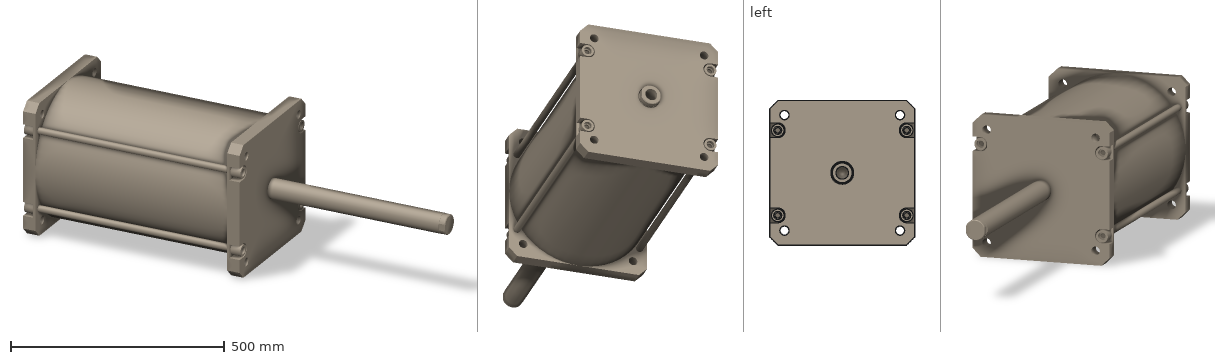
import cadquery as cq
import math

OVERALL_LENGTH = 1050.0
PLATE_SIZE = 340.0
PLATE_THICKNESS = 33.0
PLATE_CORNER_CHAMFER = 20.0
REAR_STUB_LENGTH = 16.0
BARREL_LENGTH = 504.0
BARREL_RADIUS = PLATE_SIZE / 2
BARREL_WALL = 9.0

MOUNT_HOLE_OFFSET = 135.0
MOUNT_HOLE_RADIUS = 10.0

TIE_ROD_Y = 151.0
TIE_ROD_Z = 100.0
TIE_ROD_RADIUS = 8.0
TIE_HEAD_RADIUS = 15.0
TIE_SOCKET_RADIUS = 9.0
TIE_SOCKET_DEPTH = 8.0
TIE_PILOT_RADIUS = 6.0
TIE_PILOT_DEPTH = 13.0
SLOT_WIDTH = 35.0
SLOT_RADIUS = SLOT_WIDTH / 2
SLOT_DEPTH = 26.0

ROD_RADIUS = 25.0
ROD_END_LENGTH = 16.0
ROD_END_RADIUS = 24.7
ROD_END_CHAMFER = 1.6
ROD_FLAT_OFFSET = 23.0
REAR_ROD_CLEARANCE = 1.6
BORE_RADIUS = 15.0
BORE_DEPTH = 42.0
DRILL_TIP_ANGLE = 118.0

REAR_FACE_X = REAR_STUB_LENGTH
BARREL_START_X = REAR_FACE_X + PLATE_THICKNESS
BARREL_END_X = BARREL_START_X + BARREL_LENGTH
FRONT_FACE_X = BARREL_END_X + PLATE_THICKNESS

TIE_ROD_PLACES = [(y, z) for y in (-TIE_ROD_Y, TIE_ROD_Y) for z in (-TIE_ROD_Z, TIE_ROD_Z)]


def rod_along_x(start_x, length, radius, y=0.0, z=0.0):
    """Solid cylinder parallel to X, starting at start_x."""
    return cq.Workplane("YZ", origin=(start_x, y, z)).circle(radius).extrude(length)


def box_along_x(start_x, length, y, z, width, height):
    """Box centred on (y, z), starting at start_x."""
    return cq.Workplane("YZ", origin=(start_x, y, z)).rect(width, height).extrude(length)


def make_end_plate(start_x, slot_x, rod_hole_radius):
    """Square end plate; its tie-rod head slots start at slot_x and open to the nearest side."""
    plate = box_along_x(start_x, PLATE_THICKNESS, 0, 0, PLATE_SIZE, PLATE_SIZE)
    plate = plate.edges("|X").chamfer(PLATE_CORNER_CHAMFER)
    for y in (-MOUNT_HOLE_OFFSET, MOUNT_HOLE_OFFSET):
        for z in (-MOUNT_HOLE_OFFSET, MOUNT_HOLE_OFFSET):
            plate = plate.cut(rod_along_x(start_x, PLATE_THICKNESS, MOUNT_HOLE_RADIUS, y, z))
    slot_reach = PLATE_SIZE / 2 - TIE_ROD_Y
    for y, z in TIE_ROD_PLACES:
        slot_y = math.copysign(TIE_ROD_Y + slot_reach / 2, y)
        plate = plate.cut(rod_along_x(start_x, PLATE_THICKNESS, TIE_ROD_RADIUS, y, z))
        plate = plate.cut(rod_along_x(slot_x, SLOT_DEPTH, SLOT_RADIUS, y, z))
        plate = plate.cut(box_along_x(slot_x, SLOT_DEPTH, slot_y, z, slot_reach, SLOT_WIDTH))
    return plate.cut(rod_along_x(start_x, PLATE_THICKNESS, rod_hole_radius))


def make_barrel():
    """Plain tube clamped between the end plates."""
    tube = rod_along_x(BARREL_START_X, BARREL_LENGTH, BARREL_RADIUS)
    return tube.cut(rod_along_x(BARREL_START_X, BARREL_LENGTH, BARREL_RADIUS - BARREL_WALL))


def make_tie_rod(y, z):
    """Tie rod with a round head, bored with a stepped socket, sunk into the slot of each end plate."""
    tie_rod = rod_along_x(REAR_FACE_X, FRONT_FACE_X - REAR_FACE_X, TIE_ROD_RADIUS, y, z)
    for head_x in (REAR_FACE_X, FRONT_FACE_X - SLOT_DEPTH):
        tie_rod = tie_rod.union(rod_along_x(head_x, SLOT_DEPTH, TIE_HEAD_RADIUS, y, z))
    for radius, depth in ((TIE_SOCKET_RADIUS, TIE_SOCKET_DEPTH), (TIE_PILOT_RADIUS, TIE_PILOT_DEPTH)):
        for hole_x in (REAR_FACE_X, FRONT_FACE_X - depth):
            tie_rod = tie_rod.cut(rod_along_x(hole_x, depth, radius, y, z))
    return tie_rod


def make_bore():
    """Drilled hole in the rear rod end, closed by a drill-tip cone."""
    tip_length = BORE_RADIUS / math.tan(math.radians(DRILL_TIP_ANGLE / 2))
    profile = [(0, 0), (0, BORE_RADIUS), (BORE_DEPTH, BORE_RADIUS), (BORE_DEPTH + tip_length, 0)]
    return cq.Workplane("XY").polyline(profile).close().revolve(360, (0, 0, 0), (1, 0, 0))


def make_piston_rod():
    """Through rod with a pair of wrench flats on each end and a bore in the rear end."""
    rod = rod_along_x(0, OVERALL_LENGTH, ROD_END_RADIUS).edges("%CIRCLE").chamfer(ROD_END_CHAMFER)
    rod = rod.union(rod_along_x(ROD_END_LENGTH, OVERALL_LENGTH - 2 * ROD_END_LENGTH, ROD_RADIUS))
    for end_x in (0, OVERALL_LENGTH - ROD_END_LENGTH):
        for side in (-1, 1):
            flat_y = side * (ROD_FLAT_OFFSET + ROD_RADIUS / 2)
            rod = rod.cut(box_along_x(end_x, ROD_END_LENGTH, flat_y, 0, ROD_RADIUS, 2 * ROD_RADIUS))
    return rod.cut(make_bore())


rear_plate = make_end_plate(REAR_FACE_X, REAR_FACE_X, ROD_RADIUS + REAR_ROD_CLEARANCE)
front_plate = make_end_plate(BARREL_END_X, FRONT_FACE_X - SLOT_DEPTH, ROD_RADIUS)
barrel = make_barrel()
tie_rods = [make_tie_rod(y, z) for y, z in TIE_ROD_PLACES]
piston_rod = make_piston_rod()

result = cq.Compound.makeCompound([
    rear_plate.val(),
    front_plate.val(),
    barrel.val(),
    *[tie_rod.val() for tie_rod in tie_rods],
    piston_rod.val(),
])